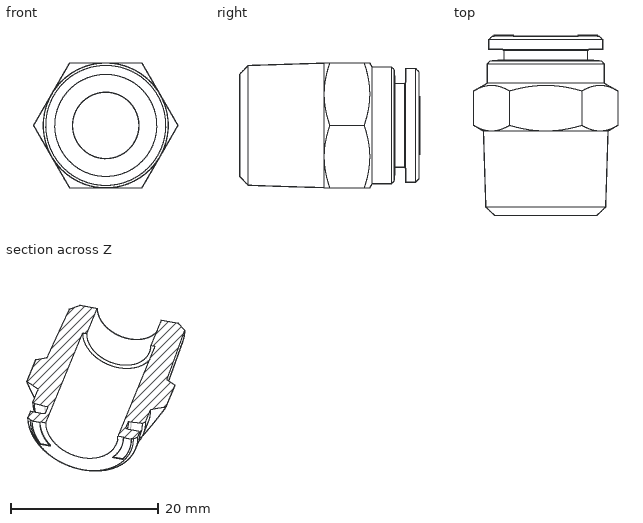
import cadquery as cq
import math


across_flats = 17.0
hex_front = 11.5
hex_rear = 18.0
hex_chamfer_angle = math.radians(30)

thread_nose_radius = 6.93
thread_chamfer_length = 1.18
thread_taper = 1 / 32
thread_root_radius = 8.48

collar_diameter = 15.9
collar_chamfer_start = 20.6
collar_rear = 21.0
collar_chamfer_depth = 0.35
cap_rear = 21.15
cap_rear_radius = 6.08

neck_diameter = 11.4
neck_rear = 22.42
neck_cone_radius = 5.88
flange_diameter = 15.5
flange_front = 22.56
flange_rear = 24.38
flange_chamfer = 0.5

overall_length = 24.5
pad_inner_radius = 5.88
pad_outer_radius = 7.0
pad_width = 7.85

through_diameter = 9.0
tube_diameter = 10.15
tube_stop = 5.45


def cylinder(diameter, start, end):
    """Solid cylinder on the Y axis between two axial positions."""
    plane = cq.Workplane("XZ", origin=(0, start, 0))
    return plane.circle(diameter / 2).extrude(start - end)


def turned(profile):
    """Revolve an outline of (radius, axial position) points about the Y axis."""
    half_section = cq.Plane(origin=(0, 0, 0), xDir=(0, 0, 1), normal=(-1, 0, 0))
    outline = cq.Workplane(half_section).polyline(profile).close()
    return outline.revolve(360, (0, 0, 0), (0, 1, 0))


def turned_body():
    """Thread body, collar, cap, neck and flange in one revolved outline."""
    collar_radius = collar_diameter / 2
    neck_radius = neck_diameter / 2
    flange_radius = flange_diameter / 2
    thread_front_radius = thread_root_radius - thread_taper * (hex_front - thread_chamfer_length)
    return turned([
        (0, 0),
        (thread_nose_radius, 0),
        (thread_front_radius, thread_chamfer_length),
        (thread_root_radius, hex_front),
        (collar_radius, hex_front),
        (collar_radius, collar_chamfer_start),
        (collar_radius - collar_chamfer_depth, collar_rear),
        (cap_rear_radius, cap_rear),
        (neck_radius, cap_rear),
        (neck_radius, neck_rear),
        (neck_cone_radius, flange_front),
        (flange_radius, flange_front),
        (flange_radius, flange_rear - flange_chamfer),
        (flange_radius - flange_chamfer, flange_rear),
        (0, flange_rear),
    ])


def hexagon():
    """Hexagon with corners on +X and -X, both ends chamfered by a cone."""
    across_corners = across_flats / math.cos(math.pi / 6)
    corner_radius = across_corners / 2
    slope = math.tan(hex_chamfer_angle)
    front_radius = across_flats / 2
    rear_radius = collar_diameter / 2
    prism = cq.Workplane("XZ", origin=(0, hex_front, 0)).polygon(6, across_corners)
    prism = prism.extrude(hex_front - hex_rear)
    chamfer_envelope = turned([
        (0, hex_front),
        (front_radius, hex_front),
        (corner_radius, hex_front + (corner_radius - front_radius) * slope),
        (corner_radius, hex_rear - (corner_radius - rear_radius) * slope),
        (rear_radius, hex_rear),
        (0, hex_rear),
    ])
    return prism.intersect(chamfer_envelope)


def grip_pads():
    """Two opposite arc-shaped pads, one on each X side of the flange face."""
    ring = cylinder(2 * pad_outer_radius, flange_rear, overall_length)
    ring = ring.cut(cylinder(2 * pad_inner_radius, flange_rear, overall_length))
    strip = cq.Workplane("XY").box(flange_diameter, 2 * overall_length, pad_width)
    return ring.intersect(strip)


body = turned_body().union(hexagon()).union(grip_pads())
through_bore = cylinder(through_diameter, 0, overall_length)
tube_socket = cylinder(tube_diameter, tube_stop, overall_length)
result = body.cut(through_bore).cut(tube_socket)